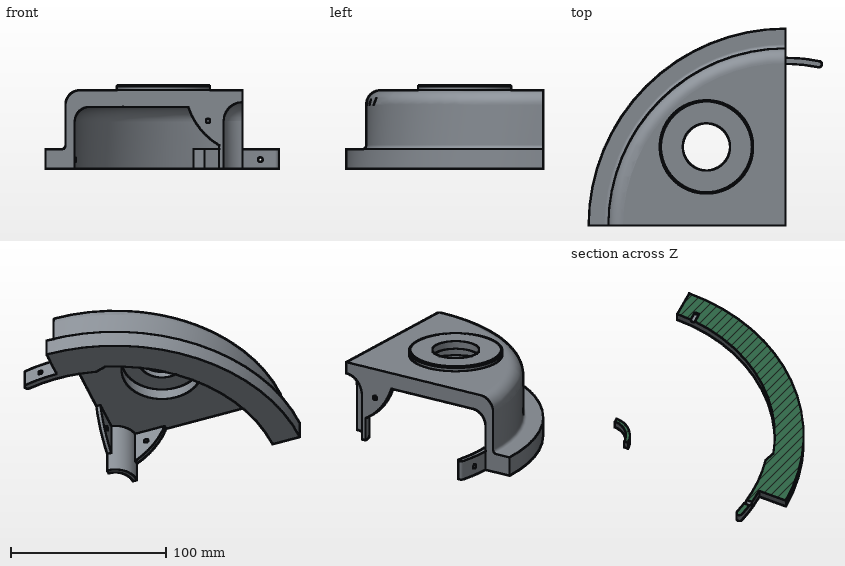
import cadquery as cq
import math

flange_radius = 127.0
flange_height = 12.8
wall_outer_radius = 114.2
wall_inner_radius = 108.2
roof_top = 50.9
ceiling = 40.0
shoulder_radius = 9.6
root_radius = 2.4

pad_center = (-51.0, 50.7)
pad_diameter = 60.3
pad_top = 54.0
pad_chamfer = 0.9
bore_diameter = 30.2
counterbore_diameter = 52.0
counterbore_depth = 8.7

post_outer_radius = 15.0
recess_radius = 12.2
recess_straight_height = 30.8
gusset_thickness = post_outer_radius - recess_radius
gusset_reach = 35.0
gusset_foot = 15.2
gusset_arc_point = (-27.4, 25.9)
overlap = 1.5

tab_inner_radius = 104.1
tab_reach = 23.5
tab_root_inner_x = -24.5
tab_root_outer_x = -31.6
pin_diameter = 2.9
tab_pin_offset = 11.5
tab_pin_height = 6.0
wall_pin_depth = 6.0
gusset_pin_offset = 22.3
gusset_pin_height = 31.0


def on_circle(radius, x):
    """Point with positive Y at the given X on a circle about the housing axis."""
    return (x, math.sqrt(radius**2 - x**2))


def quarter_turn(profile):
    """Revolve a profile in the X-Z plane from -X round to +Y."""
    return profile.revolve(90, (0, 0, 0), (0, -1, 0))


def make_shell():
    diagonal = math.sqrt(0.5)
    inset = shoulder_radius * (1 - diagonal)
    root_inset = root_radius * (1 - diagonal)
    profile = (
        cq.Workplane("XZ")
        .moveTo(0, roof_top)
        .lineTo(-wall_outer_radius + shoulder_radius, roof_top)
        .threePointArc(
            (-wall_outer_radius + inset, roof_top - inset),
            (-wall_outer_radius, roof_top - shoulder_radius),
        )
        .lineTo(-wall_outer_radius, flange_height + root_radius)
        .threePointArc(
            (-wall_outer_radius - root_inset, flange_height + root_inset),
            (-wall_outer_radius - root_radius, flange_height),
        )
        .lineTo(-flange_radius, flange_height)
        .lineTo(-flange_radius, 0)
        .lineTo(-wall_inner_radius, 0)
        .lineTo(-wall_inner_radius, ceiling - shoulder_radius)
        .threePointArc(
            (-wall_inner_radius + inset, ceiling - inset),
            (-wall_inner_radius + shoulder_radius, ceiling),
        )
        .lineTo(0, ceiling)
        .close()
    )
    return quarter_turn(profile)


def make_post():
    return quarter_turn(
        cq.Workplane("XZ").moveTo(0, 0).lineTo(-post_outer_radius, 0)
        .lineTo(-post_outer_radius, ceiling + overlap).lineTo(0, ceiling + overlap).close()
    )


def make_recess():
    cylinder = cq.Workplane("XY").circle(recess_radius).extrude(recess_straight_height)
    dome = cq.Workplane("XY").sphere(recess_radius).translate((0, 0, recess_straight_height))
    return cylinder.union(dome)


def make_gusset():
    """Gusset on the Y = 0 face, with its pin hole."""
    plate = (
        cq.Workplane("XZ")
        .moveTo(-gusset_reach, ceiling)
        .threePointArc(gusset_arc_point, (-post_outer_radius, gusset_foot))
        .lineTo(0, gusset_foot)
        .lineTo(0, ceiling + overlap)
        .lineTo(-gusset_reach, ceiling + overlap)
        .close()
        .extrude(-gusset_thickness)
    )
    pin_hole = (
        cq.Workplane("XZ")
        .center(-gusset_pin_offset, gusset_pin_height)
        .circle(pin_diameter / 2)
        .extrude(-gusset_thickness)
    )
    return plate.cut(pin_hole)


def mirror_across_quarter(body):
    """Swap the Y = 0 face and the X = 0 face of the quarter."""
    return body.mirror("XZ").rotate((0, 0, 0), (0, 0, 1), -90)


def make_tab():
    middle_radius = (tab_inner_radius + wall_inner_radius) / 2
    tip_radius = (wall_inner_radius - tab_inner_radius) / 2
    tip_angle = math.asin((tab_reach - tip_radius) / middle_radius)

    def tip_point(radius):
        return (radius * math.sin(tip_angle), radius * math.cos(tip_angle))

    tip_x, tip_y = tip_point(middle_radius)
    tip_end = (tip_x + tip_radius * math.cos(tip_angle), tip_y - tip_radius * math.sin(tip_angle))
    body = (
        cq.Workplane("XY")
        .moveTo(*on_circle(wall_inner_radius, tab_root_outer_x))
        .threePointArc((0, wall_inner_radius), tip_point(wall_inner_radius))
        .threePointArc(tip_end, tip_point(tab_inner_radius))
        .threePointArc((0, tab_inner_radius), on_circle(tab_inner_radius, tab_root_inner_x))
        .close()
        .extrude(flange_height)
    )
    pin_hole = (
        cq.Workplane("XZ")
        .center(tab_pin_offset, tab_pin_height)
        .circle(pin_diameter / 2)
        .extrude(-flange_radius)
    )
    return body.cut(pin_hole)


def make_wall_pin_hole():
    """Blind hole in the inner wall that receives the pin of a neighbouring tab."""
    return (
        cq.Workplane("YZ")
        .workplane(offset=-wall_inner_radius - wall_pin_depth)
        .center(tab_pin_offset, tab_pin_height)
        .circle(pin_diameter / 2)
        .extrude(wall_pin_depth + overlap)
    )


def make_pad():
    return (
        cq.Workplane("XY", origin=(*pad_center, roof_top))
        .circle(pad_diameter / 2)
        .extrude(pad_top - roof_top)
        .faces(">Z")
        .chamfer(pad_chamfer)
    )


def make_stepped_bore():
    base = cq.Workplane("XY", origin=(*pad_center, ceiling))
    bore = base.circle(bore_diameter / 2).extrude(pad_top - ceiling)
    counterbore = base.circle(counterbore_diameter / 2).extrude(counterbore_depth)
    return bore.union(counterbore)


gusset = make_gusset()
result = (
    make_shell()
    .union(make_post())
    .union(gusset)
    .union(mirror_across_quarter(gusset))
    .union(make_tab())
    .union(make_pad())
    .cut(make_stepped_bore())
    .cut(make_recess())
    .cut(make_wall_pin_hole())
)